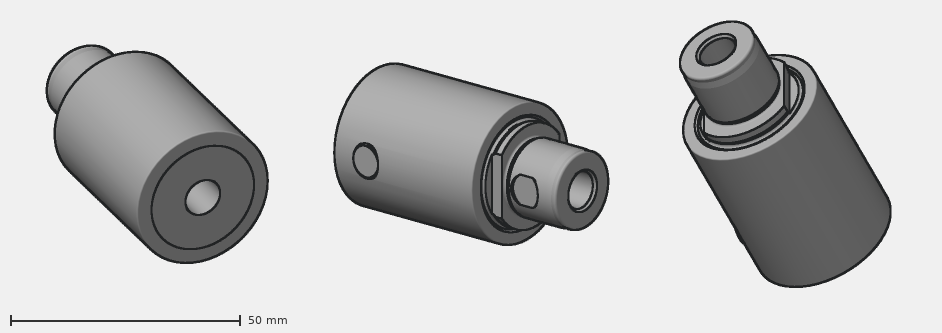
import cadquery as cq

total_length = 58.0

sleeve_start = 18.0
sleeve_radius = 16.0
sleeve_edge_fillet = 0.35
seat_radius = 12.5
seat_chamfer_width = 0.6
seat_chamfer_length = 0.35

pad_x = 48.7
pad_radius = 4.0
pad_chamfer = 0.4
pad_embedded_depth = 1.15

nose_radius = 9.0
tip_radius = 8.9
tip_fillet = 0.6
tip_groove_x = 1.4
tip_groove_radius = 8.75
nose_start = 3.0

undercut_depth = 0.3
nose_end = 13.5
nose_neck_start = 14.3
nose_neck_end = 14.45
collar_start = 15.0
collar_end = 16.9
collar_neck_start = 17.5
collar_neck_end = 17.75

collar_radius = 12.0
flat_distance = 19.1
flat_end = 17.85

bore_radius = 4.25
bore_chamfer_width = 0.5
bore_chamfer_length = 0.75

spot_x = 9.0
spot_radius = 3.9
spot_floor_y = 8.3


def disc_along_y(x, radius, y_low, y_high):
    """Round disc with its axis parallel to Y."""
    return cq.Workplane("XZ", origin=(x, y_high, 0)).circle(radius).extrude(y_high - y_low)


def add_undercut(profile, start_radius, neck_start, neck_end, fillet):
    """Continue a turned outline through an undercut, up to the end of the fillet below the shoulder."""
    neck_radius = start_radius - undercut_depth
    return (
        profile
        .lineTo(neck_start, neck_radius)
        .lineTo(neck_end, neck_radius)
        .radiusArc((neck_end + fillet, neck_radius + fillet), -fillet)
    )


def turned_shaft():
    """Solid of revolution of nose, collar and core, before any cuts."""
    core_fillet = seat_radius - (collar_radius - undercut_depth)
    profile = (
        cq.Workplane("XY")
        .lineTo(0, tip_radius - tip_fillet)
        .radiusArc((tip_fillet, tip_radius), tip_fillet)
        .lineTo(tip_groove_x, tip_groove_radius)
        .lineTo(nose_start, nose_radius)
        .lineTo(nose_end, nose_radius)
    )
    profile = add_undercut(
        profile, nose_radius, nose_neck_start, nose_neck_end, collar_start - nose_neck_end
    )
    profile = profile.lineTo(collar_start, collar_radius).lineTo(collar_end, collar_radius)
    profile = add_undercut(
        profile, collar_radius, collar_neck_start, collar_neck_end, core_fillet
    )
    profile = (
        profile
        .lineTo(total_length, seat_radius)
        .lineTo(total_length, 0)
        .close()
    )
    return profile.revolve(360, (0, 0, 0), (1, 0, 0))


def wrench_flat_cutter(side):
    """Block that cuts the collar flat on the +Y (side = 1) or -Y (side = -1) side."""
    length = flat_end - collar_start
    width = sleeve_radius
    return cq.Workplane("XY").box(length, width, 2 * sleeve_radius).translate(
        (collar_start + length / 2, side * (flat_distance + width) / 2, 0)
    )


def bore_cutter():
    """Through bore with a chamfered mouth at the nose tip."""
    return (
        cq.Workplane("XY")
        .lineTo(0, bore_radius + bore_chamfer_width)
        .lineTo(bore_chamfer_length, bore_radius)
        .lineTo(total_length, bore_radius)
        .lineTo(total_length, 0)
        .close()
        .revolve(360, (0, 0, 0), (1, 0, 0))
    )


def make_shaft():
    shaft = turned_shaft()
    for side in (1, -1):
        shaft = shaft.cut(wrench_flat_cutter(side))
    shaft = shaft.cut(bore_cutter())
    return shaft.cut(disc_along_y(spot_x, spot_radius, spot_floor_y, collar_radius))


def seat_cutter():
    """Sleeve bore with its chamfered mouth, reaching through to the +X end."""
    return (
        cq.Workplane("XY", origin=(sleeve_start, 0, 0))
        .lineTo(0, seat_radius + seat_chamfer_width)
        .lineTo(seat_chamfer_length, seat_radius)
        .lineTo(total_length - sleeve_start, seat_radius)
        .lineTo(total_length - sleeve_start, 0)
        .close()
        .revolve(360, (0, 0, 0), (1, 0, 0))
    )


def make_sleeve():
    sleeve = (
        cq.Workplane("YZ", origin=(sleeve_start, 0, 0))
        .circle(sleeve_radius)
        .extrude(total_length - sleeve_start)
        .edges()
        .fillet(sleeve_edge_fillet)
    )
    pad = disc_along_y(pad_x, pad_radius, sleeve_radius - pad_embedded_depth, sleeve_radius)
    sleeve = sleeve.union(pad.faces(">Y").chamfer(pad_chamfer))
    return sleeve.cut(seat_cutter())


shaft = make_shaft()
sleeve = make_sleeve()
result = cq.Compound.makeCompound([shaft.val(), sleeve.val()])